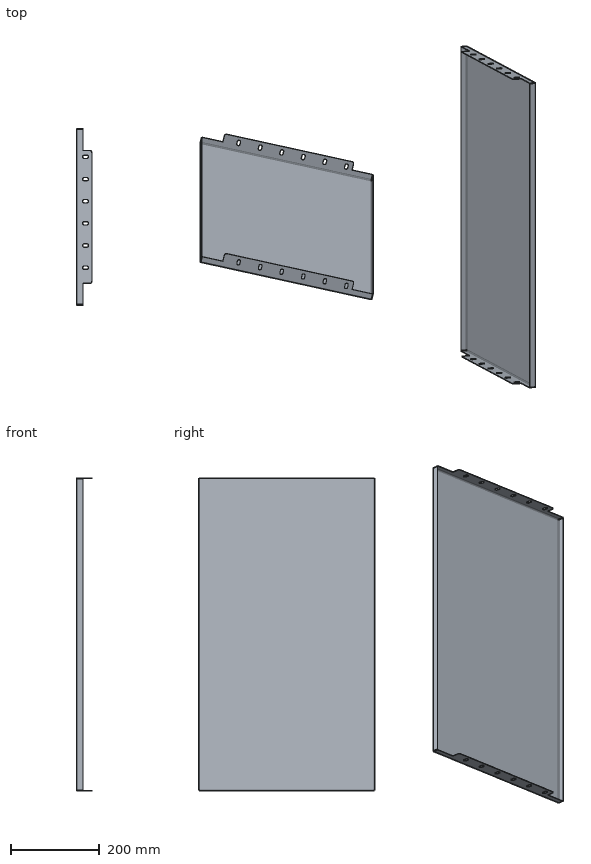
import cadquery as cq

total_depth = 35.0
width = 399.0
height = 707.0

sheet = 1.0
inner_bend_radius = 1.0
outer_bend_radius = sheet + inner_bend_radius
rim_depth = 15.0

tab_width = 300.0
tab_corner_radius = 5.0

slot_count = 6
slot_pitch = 50.0
slot_length = 13.0
slot_width = 7.0
slot_center_x = 20.4
slot_row_center_y = 10.5


def rounded_front_block(depth, size_y, size_z, front_x, radius):
    """Block standing behind front_x with its four front edges rounded."""
    block = cq.Workplane("XY").box(depth, size_y, size_z, centered=(False, True, True))
    return block.edges("<X").fillet(radius).translate((front_x, 0, 0))


def make_tray():
    """Front sheet with four walls folded backwards, open at the back."""
    outside = rounded_front_block(rim_depth, width, height, 0, outer_bend_radius)
    inside = rounded_front_block(
        rim_depth, width - 2 * sheet, height - 2 * sheet, sheet, inner_bend_radius
    )
    return outside.cut(inside)


def cut_corner_reliefs(tray):
    """Square notches where neighbouring bends meet, so the walls stay separate."""
    reliefs = (
        cq.Workplane("YZ")
        .rect(width - outer_bend_radius, height - outer_bend_radius, forConstruction=True)
        .vertices()
        .rect(outer_bend_radius, outer_bend_radius)
        .extrude(rim_depth)
    )
    return tray.cut(reliefs)


def make_tab():
    """Slotted top tab, flush with the outside of the top wall."""
    tab_length = total_depth - rim_depth
    tab = (
        cq.Workplane("XY")
        .box(tab_length, tab_width, sheet, centered=(False, True, False))
        .edges("|Z and >X")
        .fillet(tab_corner_radius)
    )
    return tab.translate((rim_depth, 0, height / 2 - sheet))


def make_slots():
    """Row of slots passing through both tabs."""
    return (
        cq.Workplane("XY", origin=(slot_center_x, slot_row_center_y, 0))
        .rarray(1, slot_pitch, 1, slot_count)
        .slot2D(slot_length, slot_width)
        .extrude(height / 2, both=True)
    )


top_tab = make_tab()
bottom_tab = top_tab.mirror("XY")
panel = cut_corner_reliefs(make_tray()).union(top_tab).union(bottom_tab)
result = panel.cut(make_slots())